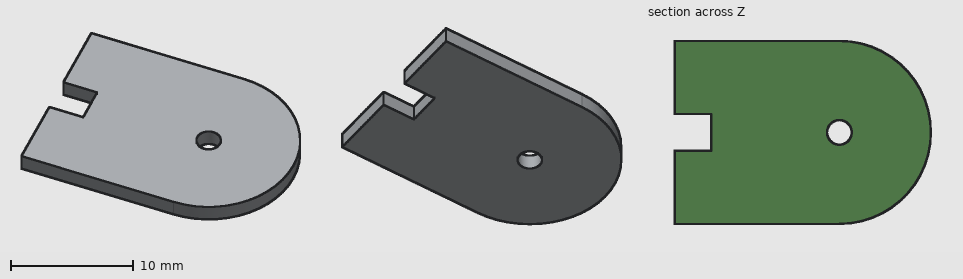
import cadquery as cq

length = 21.0
width = 15.0
thickness = 1.5
hole_diameter = 2.0
notch_depth = 3.0
notch_width = 3.0

end_radius = width / 2
straight_length = length - end_radius


def make_plate():
    """Flat plate with a square end at -X and a semicircular end at +X."""
    return (
        cq.Workplane("XY")
        .moveTo(-straight_length, -end_radius)
        .lineTo(0, -end_radius)
        .threePointArc((end_radius, 0), (0, end_radius))
        .lineTo(-straight_length, end_radius)
        .close()
        .extrude(thickness)
    )


def make_notch():
    """Rectangular notch cutter, centred on the square end."""
    return (
        cq.Workplane("XY")
        .center(-straight_length + notch_depth / 2, 0)
        .rect(notch_depth, notch_width)
        .extrude(thickness)
    )


def make_hole():
    """Through-hole cutter, concentric with the rounded end."""
    return cq.Workplane("XY").circle(hole_diameter / 2).extrude(thickness)


result = make_plate().cut(make_notch()).cut(make_hole())